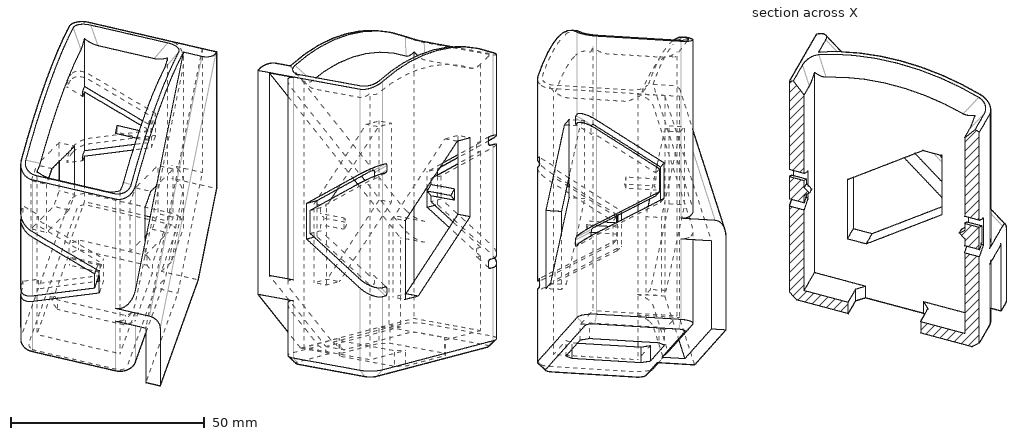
import cadquery as cq
import math


body_x = 30.65
body_y = 52.8
corner_radius = 4.15
wall = 4.15
height = 82.8
base_chamfer = 2.1
crown_radius = 58.0
crown_axis_z = height - crown_radius
half_y = body_y / 2
mid_x = body_x / 2
cavity_half_y = half_y - wall

floor_thickness = 4.15
opening_y = 20.05
opening_chamfer = 2.0

rim_width = 1.2
flare_width = wall - rim_width
side_flare_depth = 5.1
end_flare_depth = 4.0
flare_corner_radius = 3.7
flare_overshoot = 1.25

belt_gap = 4.0
overall_x = 38.5
plate_inner_x = body_x + belt_gap
clip_root_x = body_x - corner_radius
bridge_height = 5.55
clip_top_z = 29.2
channel_ceiling_z = clip_top_z - bridge_height
channel_floor_z = 22.8
clip_fillet = 2.9

tab_z = 38.9
tab_angle = math.radians(30)
tab_tip_x = 20.9
tab_tip_half = 3.1
slot_tip_x = 22.1
slot_tip_half = 4.7
slot_depth = 5.9
slot_end_fillet = 0.5

bump_x = 12.9
bump_height = 1.5

window_z = 38.3
window_half_y = 13.1
window_half_z = 19.1
window_flat = 5.2
window_side = 20.9


def yz_prism(points, x_start, x_end):
    """Extrude a YZ outline from x_start to x_end."""
    plane = cq.Workplane("YZ", origin=(x_start, 0, 0))
    return plane.polyline(points).close().extrude(x_end - x_start)


def make_body():
    """Rounded block with a chamfered base."""
    box = cq.Workplane("XY").box(body_x, body_y, height, centered=(False, True, False))
    return box.edges("|Z").fillet(corner_radius).faces("<Z").edges().chamfer(base_chamfer)


def make_clip():
    """Sloped bridge, sloped floor and outer plate that surround the belt channel."""
    rise = body_y
    outline = [
        (-half_y, 0),
        (-half_y, clip_top_z),
        (half_y, clip_top_z + rise),
        (half_y, channel_floor_z - bridge_height),
        (half_y - channel_floor_z + bridge_height, 0),
    ]
    clip = yz_prism(outline, clip_root_x, overall_x)
    top_edge = cq.selectors.NearestToPointSelector((overall_x, 0, clip_top_z + half_y))
    clip = clip.edges(top_edge).fillet(clip_fillet)
    channel = [
        (-half_y, 0),
        (-half_y, channel_ceiling_z),
        (half_y, channel_ceiling_z + rise),
        (half_y, channel_floor_z),
        (half_y - channel_floor_z, 0),
    ]
    return clip.cut(yz_prism(channel, clip_root_x, plate_inner_x))


def make_crown():
    """Everything below the arched top."""
    side_z = crown_axis_z + math.sqrt(crown_radius**2 - half_y**2)
    return (
        cq.Workplane("YZ")
        .moveTo(-half_y, 0)
        .lineTo(-half_y, side_z)
        .threePointArc((0, height), (half_y, side_z))
        .lineTo(half_y, 0)
        .close()
        .extrude(overall_x)
    )


def make_cavity():
    """Straight cavity above the floor, plus the opening through the floor."""
    cavity = (
        cq.Workplane("XY", origin=(mid_x, 0, floor_thickness))
        .rect(body_x - 2 * wall, 2 * cavity_half_y)
        .extrude(height)
    )
    opening = (
        cq.Workplane("XY", origin=(mid_x, 0, 0))
        .rect(body_x - 2 * wall, opening_y)
        .extrude(height)
        .edges("|Z")
        .chamfer(opening_chamfer)
    )
    return cavity.union(opening)


def make_flare():
    """Mouth funnel: conical sides that follow the crown, flat ends, rounded corners."""
    side_slope = flare_width / side_flare_depth
    end_slope = flare_width / end_flare_depth
    deep = side_flare_depth + flare_overshoot
    low_half = mid_x - rim_width - side_slope * deep
    high_half = mid_x - rim_width + side_slope * flare_overshoot
    sides = (
        cq.Workplane("XZ", origin=(mid_x, 0, 0))
        .polyline([
            (-low_half, height - deep),
            (low_half, height - deep),
            (high_half, height + flare_overshoot),
            (-high_half, height + flare_overshoot),
        ])
        .close()
        .revolve(360, (0, crown_axis_z, 0), (1, crown_axis_z, 0))
    )
    rim_y = half_y - rim_width
    rim_z = crown_axis_z + math.sqrt(crown_radius**2 - rim_y**2)
    bottom_z = rim_z - end_flare_depth - flare_overshoot
    top_z = height + 2 * flare_overshoot
    low_y = rim_y - end_slope * (rim_z - bottom_z)
    high_y = rim_y + end_slope * (top_z - rim_z)
    ends = yz_prism(
        [(-low_y, bottom_z), (low_y, bottom_z), (high_y, top_z), (-high_y, top_z)], 0, body_x
    )
    return sides.intersect(ends).edges("%HYPERBOLA").fillet(flare_corner_radius)


def tab_outline(tip_x, tip_half):
    """Tapered tab outline in XZ, symmetric about the tab height and open past the -X wall."""
    root_half = tip_half + (tip_x + wall) * math.tan(tab_angle)
    return [
        (-wall, tab_z - root_half),
        (tip_x, tab_z - tip_half),
        (tip_x, tab_z + tip_half),
        (-wall, tab_z + root_half),
    ]


def make_tab_slots():
    """V-shaped slots that free a tab in each end wall and wrap onto the -X wall."""
    start = cq.Workplane("XZ", origin=(0, half_y, 0))
    outer = start.polyline(tab_outline(slot_tip_x, slot_tip_half)).close().extrude(slot_depth)
    inner = start.polyline(tab_outline(tab_tip_x, tab_tip_half)).close().extrude(slot_depth)
    slot = outer.cut(inner)
    slot = slot.faces("<Y").edges("not |Z").fillet(slot_end_fillet)
    return slot.union(slot.mirror("XZ"))


def make_bumps():
    """Wedge-shaped latch bumps on the inner face of both tabs."""
    outline = [
        (cavity_half_y, tab_z - bump_height),
        (cavity_half_y - bump_height, tab_z),
        (cavity_half_y, tab_z + bump_height),
    ]
    bump = yz_prism(outline, bump_x, tab_tip_x)
    return bump.union(bump.mirror("XZ"))


def make_window():
    """Slanted six-sided window, unchanged by a half turn about its centre."""
    half_outline = [
        (window_half_y, -window_half_z),
        (window_half_y, window_side - window_half_z),
        (window_flat - window_half_y, window_half_z),
    ]
    outline = half_outline + [(-y, -z) for y, z in half_outline]
    return yz_prism(outline, 0, body_x).translate((0, 0, window_z))


result = (
    make_body()
    .union(make_clip())
    .intersect(make_crown())
    .cut(make_cavity())
    .cut(make_flare())
    .union(make_bumps())
    .cut(make_tab_slots())
    .cut(make_window())
)